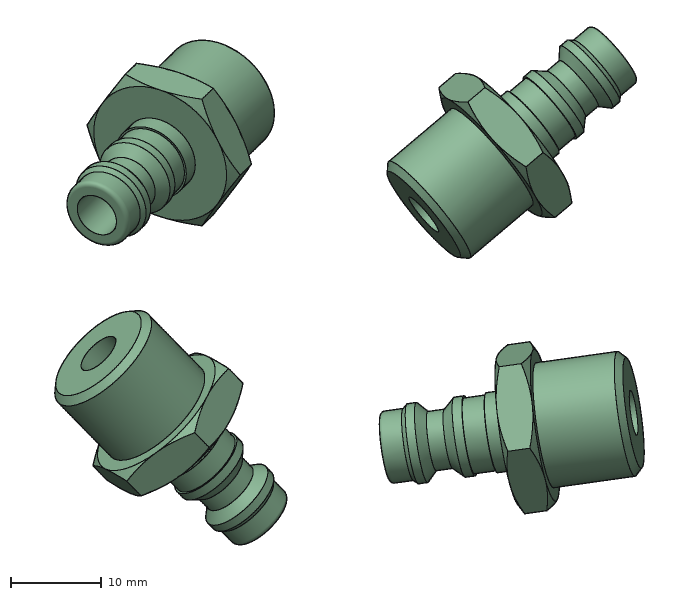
import cadquery as cq
import math

total_length = 28.0

tip_diameter = 8.1
tip_fillet = 0.5
tip_end = 2.6
front_collar_start = 3.1
front_collar_end = 4.15
neck_start = 5.25
neck_end = 7.15
rear_collar_start = 8.4
rear_collar_end = 9.5
groove_end = 12.0
collar_diameter = 9.0
neck_diameter = 6.65
groove_diameter = 8.5

hex_start = 14.0
hex_thickness = 4.0
hex_across_flats = 17.0
hex_chamfer_angle = 30.0

shank_diameter = 14.0
shank_chamfer = 0.8

bore_diameter = 5.0

hex_end = hex_start + hex_thickness
hex_across_corners = hex_across_flats / math.cos(math.radians(30))


def turned(profile):
    """Revolve a half profile drawn in the XY plane about the Y axis."""
    return profile.close().revolve(360, (0, 0, 0), (0, 1, 0))


def cylinder(diameter, start, end):
    """Cylinder along Y between two positions."""
    base = cq.Workplane("XZ", origin=(0, start, 0))
    return base.circle(diameter / 2).extrude(start - end)


def make_plug():
    tip_radius = tip_diameter / 2
    collar_radius = collar_diameter / 2
    neck_radius = neck_diameter / 2
    groove_radius = groove_diameter / 2
    profile = (
        cq.Workplane("XY")
        .lineTo(tip_radius - tip_fillet, 0)
        .radiusArc((tip_radius, tip_fillet), -tip_fillet)
        .lineTo(tip_radius, tip_end)
        .lineTo(collar_radius, front_collar_start)
        .lineTo(collar_radius, front_collar_end)
        .lineTo(neck_radius, neck_start)
        .lineTo(neck_radius, neck_end)
        .lineTo(collar_radius, rear_collar_start)
        .lineTo(collar_radius, rear_collar_end)
        .lineTo(groove_radius, rear_collar_end)
        .lineTo(groove_radius, groove_end)
        .lineTo(collar_radius, groove_end)
        .lineTo(collar_radius, hex_start)
        .lineTo(0, hex_start)
    )
    return turned(profile)


def make_hexagon():
    """Hexagon with corners on X, both faces chamfered by a cone."""
    prism = (
        cq.Workplane("XZ", origin=(0, hex_start, 0))
        .polygon(6, hex_across_corners)
        .extrude(-hex_thickness)
    )
    face_radius = hex_across_flats / 2
    corner_radius = hex_across_corners / 2
    chamfer_depth = (corner_radius - face_radius) * math.tan(math.radians(hex_chamfer_angle))
    envelope = turned(
        cq.Workplane("XY")
        .moveTo(0, hex_start)
        .lineTo(face_radius, hex_start)
        .lineTo(corner_radius, hex_start + chamfer_depth)
        .lineTo(corner_radius, hex_end - chamfer_depth)
        .lineTo(face_radius, hex_end)
        .lineTo(0, hex_end)
    )
    return prism.intersect(envelope)


def make_shank():
    shank = cylinder(shank_diameter, hex_end, total_length)
    return shank.faces(">Y").chamfer(shank_chamfer)


bore = cylinder(bore_diameter, 0, total_length)
result = make_plug().union(make_hexagon()).union(make_shank()).cut(bore)